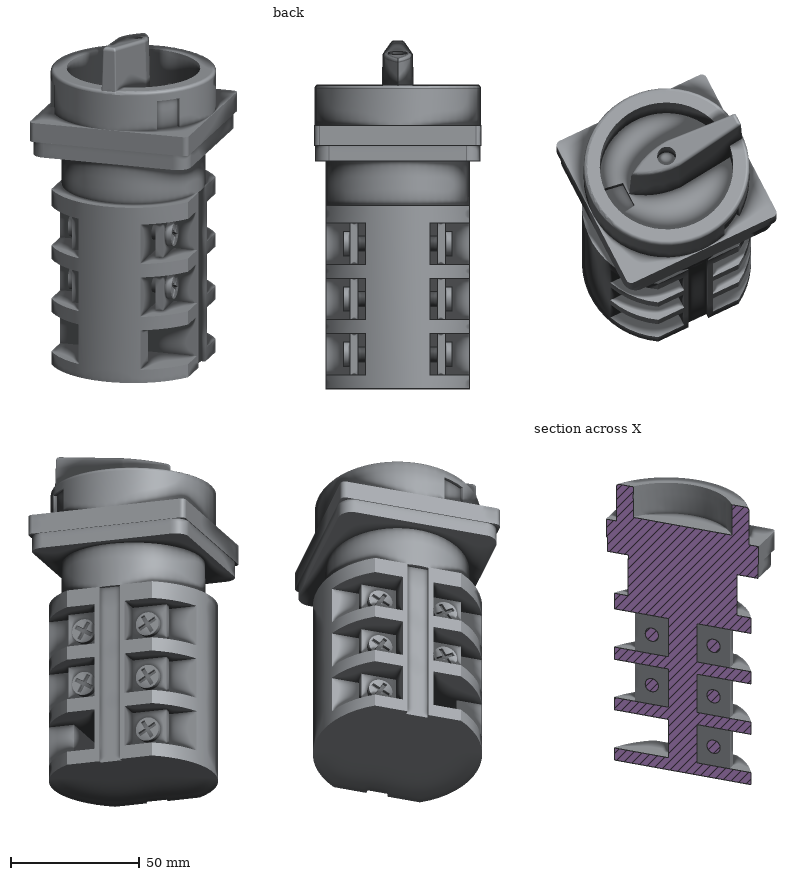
import cadquery as cq
import math

body_diameter = 66.0
body_width = 56.0
body_height = 71.5
groove_width = 8.5
groove_depth = 1.8

stage_count = 3
stage_pitch = 21.6
first_stage_z = 13.4
pocket_height = 16.1
pocket_floor_x = 12.5
pocket_inner_y = 6.2
pocket_outer_y = 30.5

terminal_end_y = 20.2
terminal_plate_x = 15.5
terminal_plate_thickness = 3.1
screw_y = 13.2
screw_shank_diameter = 5.8
screw_head_diameter = 9.5
screw_head_height = 2.6
screw_slot_length = 7.7
screw_slot_width = 1.6
screw_slot_depth = 1.4
screw_slot_angle = 30

neck_diameter = body_width
plate_base_z = 88.7
lower_plate_size = 64.3
lower_plate_corner = 5.4
upper_plate_base_z = 94.8
upper_plate_size = 65.0
upper_plate_corner = 2.0
upper_plate_top_z = 102.5

ring_radius = 32.3
ring_bore_radius = 26.0
ring_top_z = 118.4
ring_edge_fillet = 1.4
dial_top_z = 105.4
notch_top_z = 114.4
notch_depth = 1.4
notch_span = 17.4
notch_angles = (206.7, 313)

window_inner_y = 16.4
window_inner_half_width = 5.2
window_outer_half_width = 6.5

handle_tip_y = 16.3
handle_widest_y = -3.0
handle_end_y = -32.0
handle_half_width = 6.4
handle_end_half_width = 3.3
handle_draft = 1.5
handle_slope = 9
handle_axis_z = 130.9
handle_edge_fillet = 1.4
handle_side_fillet = 6.8
handle_end_fillet = 0.5
handle_hole_diameter = 7.3
handle_hole_depth = 6.8


def box(x_range, y_range, z_range):
    """Axis-aligned box between pairs of coordinates given in any order."""
    sizes = [abs(high - low) for low, high in (x_range, y_range, z_range)]
    corner = [min(limits) for limits in (x_range, y_range, z_range)]
    return cq.Workplane("XY").box(*sizes, centered=False).translate(tuple(corner))


def cylinder_z(radius, z_low, z_high):
    return cq.Workplane("XY").workplane(offset=z_low).circle(radius).extrude(z_high - z_low)


def make_body():
    """Flat-sided cylinder with a groove down the middle of each flat."""
    half_width = body_width / 2
    body = cylinder_z(body_diameter / 2, 0, body_height)
    body = body.intersect(
        cq.Workplane("XY").rect(body_width, body_diameter).extrude(body_height)
    )
    for side in (-1, 1):
        body = body.cut(
            box(
                (side * (half_width - groove_depth), side * half_width),
                (-groove_width / 2, groove_width / 2),
                (0, body_height),
            )
        )
    return body


def make_pocket(x_side, y_side, z):
    return box(
        (x_side * pocket_floor_x, x_side * body_width),
        (y_side * pocket_inner_y, y_side * pocket_outer_y),
        (z - pocket_height / 2, z + pocket_height / 2),
    )


def make_through_opening(y_side, z):
    """Opening that joins two opposite pockets where no terminals are fitted."""
    return box(
        (-pocket_floor_x, pocket_floor_x),
        (y_side * pocket_inner_y, y_side * terminal_end_y),
        (z - pocket_height / 2, z + pocket_height / 2),
    )


def make_terminal(z):
    """Terminal of the +X, +Y pocket at height z: plate, screw shank and cross-slotted head."""
    plate_outer_x = terminal_plate_x + terminal_plate_thickness
    head_top_x = plate_outer_x + screw_head_height
    plate = box(
        (terminal_plate_x, plate_outer_x),
        (pocket_inner_y, terminal_end_y),
        (z - pocket_height / 2, z + pocket_height / 2),
    )
    screw_axis = cq.Workplane("YZ").center(screw_y, z)
    shank = (
        screw_axis.workplane(offset=pocket_floor_x)
        .circle(screw_shank_diameter / 2)
        .extrude(terminal_plate_x - pocket_floor_x)
    )
    head = (
        screw_axis.workplane(offset=plate_outer_x)
        .circle(screw_head_diameter / 2)
        .extrude(screw_head_height)
    )
    slot = screw_axis.workplane(offset=head_top_x - screw_slot_depth).transformed(
        rotate=(0, 0, screw_slot_angle)
    )
    for length, width in (
        (screw_slot_length, screw_slot_width),
        (screw_slot_width, screw_slot_length),
    ):
        head = head.cut(slot.rect(length, width).extrude(screw_slot_depth))
    return plate.union(shank).union(head)


def place_terminal(terminal, x_side, y_side):
    """Mirror a +X, +Y terminal into the chosen corner of the body."""
    if x_side < 0:
        terminal = terminal.mirror("YZ")
    if y_side < 0:
        terminal = terminal.mirror("XZ")
    return terminal


def make_plate(size, corner, z_low, z_high):
    return (
        cq.Workplane("XY")
        .workplane(offset=z_low)
        .rect(size, size)
        .extrude(z_high - z_low)
        .edges("|Z")
        .fillet(corner)
    )


def make_notch(middle_angle):
    """Shallow curved recess at the foot of the ring, open outward."""
    wedge_reach = 2 * ring_radius
    half_span = math.radians(notch_span / 2)
    corner_x = wedge_reach * math.cos(half_span)
    corner_y = wedge_reach * math.sin(half_span)
    height = notch_top_z - upper_plate_top_z
    wedge = (
        cq.Workplane("XY")
        .workplane(offset=upper_plate_top_z)
        .polyline([(0, 0), (corner_x, -corner_y), (corner_x, corner_y)])
        .close()
        .extrude(height)
    )
    core = cylinder_z(ring_radius - notch_depth, upper_plate_top_z, notch_top_z)
    return wedge.cut(core).rotate((0, 0, 0), (0, 0, 1), middle_angle)


def make_window():
    """Trapezoidal recess through the dial, ending at the bore of the ring."""
    outer_y = math.sqrt(ring_bore_radius**2 - window_outer_half_width**2)
    return (
        cq.Workplane("XY")
        .workplane(offset=upper_plate_top_z)
        .moveTo(-window_inner_half_width, window_inner_y)
        .lineTo(window_inner_half_width, window_inner_y)
        .lineTo(window_outer_half_width, outer_y)
        .threePointArc((0, ring_bore_radius), (-window_outer_half_width, outer_y))
        .close()
        .extrude(dial_top_z - upper_plate_top_z)
    )


def make_ring():
    """Ring with rounded top edge, side notches and the dial at the bottom of its bore."""
    ring = cylinder_z(ring_radius, upper_plate_top_z, ring_top_z)
    ring = ring.faces(">Z").edges().fillet(ring_edge_fillet)
    ring = ring.cut(cylinder_z(ring_bore_radius, dial_top_z, ring_top_z))
    ring = ring.cut(make_window())
    for angle in notch_angles:
        ring = ring.cut(make_notch(angle))
    return ring


def make_handle():
    """Leaf-shaped grip: two arcs meeting at the tip and straight sides to the blade end."""
    arc_length_y = handle_tip_y - handle_widest_y
    arc_radius = (handle_half_width**2 + arc_length_y**2) / (2 * handle_half_width)
    arc_mid_y = handle_widest_y + arc_length_y / 2
    arc_mid_x = handle_half_width - arc_radius + math.sqrt(arc_radius**2 - (arc_length_y / 2) ** 2)

    blank_height = 2 * (handle_axis_z - dial_top_z)
    blank_top_z = dial_top_z + blank_height

    grip = (
        cq.Workplane("XY")
        .workplane(offset=dial_top_z)
        .moveTo(handle_end_half_width, handle_end_y)
        .lineTo(handle_half_width, handle_widest_y)
        .threePointArc((arc_mid_x, arc_mid_y), (0, handle_tip_y))
        .threePointArc((-arc_mid_x, arc_mid_y), (-handle_half_width, handle_widest_y))
        .lineTo(-handle_end_half_width, handle_end_y)
        .close()
        .extrude(blank_height, taper=handle_draft)
    )
    rounded_edges = ((handle_end_y, handle_end_fillet), (handle_widest_y, handle_side_fillet))
    edge_search = 1.4
    for edge_y, radius in rounded_edges:
        near_edge = cq.selectors.BoxSelector(
            (-ring_radius, edge_y - edge_search, dial_top_z + edge_search),
            (ring_radius, edge_y + edge_search, blank_top_z),
        )
        grip = grip.edges(near_edge).fillet(radius)
    cutter_size = 4 * ring_radius
    above_slope = (
        cq.Workplane("XY")
        .box(cutter_size, cutter_size, cutter_size, centered=(True, True, False))
        .rotate((0, 0, 0), (1, 0, 0), -handle_slope)
        .translate((0, 0, handle_axis_z))
    )
    grip = grip.cut(above_slope)
    grip = grip.faces(">Z").edges().fillet(handle_edge_fillet)
    hole = cylinder_z(handle_hole_diameter / 2, handle_axis_z - handle_hole_depth, blank_top_z)
    return grip.cut(hole)


result = make_body()
for stage in range(stage_count):
    stage_z = first_stage_z + stage * stage_pitch
    for y_side in (-1, 1):
        has_terminals = stage > 0 or y_side > 0
        for x_side in (-1, 1):
            result = result.cut(make_pocket(x_side, y_side, stage_z))
            if has_terminals:
                result = result.union(place_terminal(make_terminal(stage_z), x_side, y_side))
        if not has_terminals:
            result = result.cut(make_through_opening(y_side, stage_z))

result = result.union(cylinder_z(neck_diameter / 2, body_height, plate_base_z))
result = result.union(
    make_plate(lower_plate_size, lower_plate_corner, plate_base_z, upper_plate_base_z)
)
result = result.union(
    make_plate(upper_plate_size, upper_plate_corner, upper_plate_base_z, upper_plate_top_z)
)
result = result.union(make_ring())
result = result.union(make_handle())